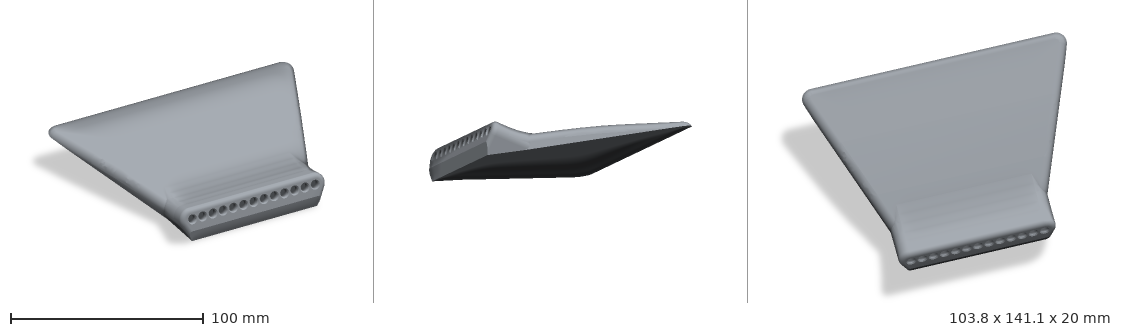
import cadquery as cq
import math

BASE_TILT = 9.9

LEAD_X = -0.4
LEAD_HALF_WIDTH = 73.5
PLATE_END_X = 96.0
PLATE_END_HALF_WIDTH = 36.5
CORNER_RADIUS = 5.9
EDGE_ROUND = 4.5
ENVELOPE_HEIGHT = 45.2
UNDERCUT = 11.3

LEAD_HEIGHT = 2.3
LEAD_SLOPE = 6.6
CROWN_START_X = 31.5
CROWN_END_X = 62.6
CROWN_SLOPE = 1.4
HOLLOW_START_X = 70.0
HOLLOW_END_X = 90.2

LIP_ANGLE = 28.0
END_HALF_WIDTH = 36.0
LIP_ROUND = 5.9
LIP_UNDERSIDE_ANGLE = 27.0
LIP_DEPTH = 28.2
LIP_LENGTH = 56.5
LIP_EDGE_ROUND = 2.5
END_X = 104.1
END_WALL_HEIGHT = 7.0

HOLE_COUNT = 13
HOLE_PITCH = 5.9
HOLE_DIAMETER = 4.2
HOLE_DEPTH = 4.2
HOLE_RIM_CHAMFER = 0.5


def slope(angle):
    return math.tan(math.radians(angle))


def tangent_rise(run, start_angle, end_angle):
    """Height gained by an arc turning from one slope angle to another."""
    return run * slope((start_angle + end_angle) / 2)


def arc_middle(start, end, start_angle, end_angle):
    """Point halfway along the arc between two points of known slope angle."""
    run = end[0] - start[0]
    rise = end[1] - start[1]
    chord = math.hypot(run, rise)
    sagitta = chord / 2 * slope((end_angle - start_angle) / 4)
    middle_x = (start[0] + end[0]) / 2 + sagitta * rise / chord
    middle_z = (start[1] + end[1]) / 2 - sagitta * run / chord
    return middle_x, middle_z


lead = (LEAD_X, LEAD_HEIGHT)
crown_start = (CROWN_START_X, LEAD_HEIGHT + (CROWN_START_X - LEAD_X) * slope(LEAD_SLOPE))
crown_rise = tangent_rise(CROWN_END_X - CROWN_START_X, LEAD_SLOPE, CROWN_SLOPE)
crown_end = (CROWN_END_X, crown_start[1] + crown_rise)
hollow_start = (HOLLOW_START_X, crown_end[1] + (HOLLOW_START_X - CROWN_END_X) * slope(CROWN_SLOPE))
hollow_rise = tangent_rise(HOLLOW_END_X - HOLLOW_START_X, CROWN_SLOPE, LIP_ANGLE)
hollow_end = (HOLLOW_END_X, hollow_start[1] + hollow_rise)

lip_cos = math.cos(math.radians(LIP_ANGLE))
lip_sin = math.sin(math.radians(LIP_ANGLE))
corner_reach = (END_X - hollow_end[0]) * lip_cos + (END_WALL_HEIGHT - hollow_end[1]) * lip_sin
lip_corner = (hollow_end[0] + corner_reach * lip_cos, hollow_end[1] + corner_reach * lip_sin)
lip_plane = cq.Plane(
    origin=(lip_corner[0], 0, lip_corner[1]),
    xDir=(0, 1, 0),
    normal=(lip_cos, 0, lip_sin),
)


def make_plate():
    plate_end = (PLATE_END_X, hollow_start[1] + (PLATE_END_X - HOLLOW_START_X) * slope(CROWN_SLOPE))
    profile = (
        cq.Workplane("XZ")
        .moveTo(LEAD_X, -UNDERCUT)
        .lineTo(*lead)
        .lineTo(*crown_start)
        .threePointArc(arc_middle(crown_start, crown_end, LEAD_SLOPE, CROWN_SLOPE), crown_end)
        .lineTo(*plate_end)
        .lineTo(plate_end[0], -UNDERCUT)
        .close()
        .extrude(LEAD_HALF_WIDTH, both=True)
    )
    outline = (
        cq.Workplane("XY")
        .workplane(offset=-UNDERCUT)
        .polyline([
            (LEAD_X, -LEAD_HALF_WIDTH),
            (PLATE_END_X, -PLATE_END_HALF_WIDTH),
            (PLATE_END_X, PLATE_END_HALF_WIDTH),
            (LEAD_X, LEAD_HALF_WIDTH),
        ])
        .close()
        .extrude(ENVELOPE_HEIGHT)
        .edges("|Z and <X")
        .fillet(CORNER_RADIUS)
    )
    plate = profile.intersect(outline)
    return plate.faces("<X").edges(">Z").fillet(EDGE_ROUND)


def lip_section(plane):
    """Closed outline across the lip: flat top, round shoulders, sides leaning inward."""
    lean = math.radians(LIP_UNDERSIDE_ANGLE)
    middle = (math.pi / 2 - lean) / 2
    round_middle_y = END_HALF_WIDTH + LIP_ROUND * math.cos(middle)
    round_middle_z = LIP_ROUND * (math.sin(middle) - 1)
    round_end_y = END_HALF_WIDTH + LIP_ROUND * math.cos(lean)
    round_end_z = -LIP_ROUND * (1 + math.sin(lean))
    foot_y = round_end_y - (LIP_DEPTH + round_end_z) * math.tan(lean)
    return (
        cq.Workplane(plane)
        .moveTo(-END_HALF_WIDTH, 0)
        .lineTo(END_HALF_WIDTH, 0)
        .threePointArc((round_middle_y, round_middle_z), (round_end_y, round_end_z))
        .lineTo(foot_y, -LIP_DEPTH)
        .lineTo(-foot_y, -LIP_DEPTH)
        .lineTo(-round_end_y, round_end_z)
        .threePointArc((-round_middle_y, round_middle_z), (-END_HALF_WIDTH, 0))
        .close()
    )


def make_lip():
    bar = lip_section(lip_plane).extrude(-LIP_LENGTH)
    end_edges = bar.faces(cq.DirectionMinMaxSelector(lip_plane.zDir)).edges()
    rounded_edges = end_edges.filter(lambda edge: edge.Center().z > lip_corner[1] - 0.9 * LIP_DEPTH * lip_cos)
    return bar.newObject(rounded_edges.vals()).fillet(LIP_EDGE_ROUND)


def make_hollow():
    """The lip section swept back along the hollow arc until it meets the plate."""
    turn = LIP_ANGLE - CROWN_SLOPE
    chord = math.hypot(HOLLOW_END_X - HOLLOW_START_X, hollow_rise)
    radius = chord / (2 * math.sin(math.radians(turn / 2)))
    plane = cq.Plane(
        origin=(hollow_end[0], 0, hollow_end[1]),
        xDir=lip_plane.xDir,
        normal=lip_plane.zDir,
    )
    return lip_section(plane).revolve(turn, (0, radius), (1, radius))


def make_holes():
    centres = [(HOLE_PITCH * (i - (HOLE_COUNT - 1) / 2), -LIP_ROUND) for i in range(HOLE_COUNT)]
    bores = cq.Workplane(lip_plane).pushPoints(centres).circle(HOLE_DIAMETER / 2).extrude(-HOLE_DEPTH)
    rims = (
        cq.Workplane(lip_plane)
        .pushPoints(centres)
        .circle(HOLE_DIAMETER / 2 + HOLE_RIM_CHAMFER)
        .extrude(-HOLE_RIM_CHAMFER, taper=45)
    )
    return bores.union(rims)


def make_envelope():
    """Space above the flat base and behind the vertical end wall."""
    length = END_X + 2 * UNDERCUT
    box = cq.Workplane("XY").box(length, 3 * LEAD_HALF_WIDTH, ENVELOPE_HEIGHT, centered=(False, True, False))
    return box.translate((END_X - length, 0, 0))


part = make_plate().union(make_lip()).union(make_hollow()).intersect(make_envelope()).cut(make_holes())
result = part.rotate((0, 0, 0), (0, 1, 0), BASE_TILT)